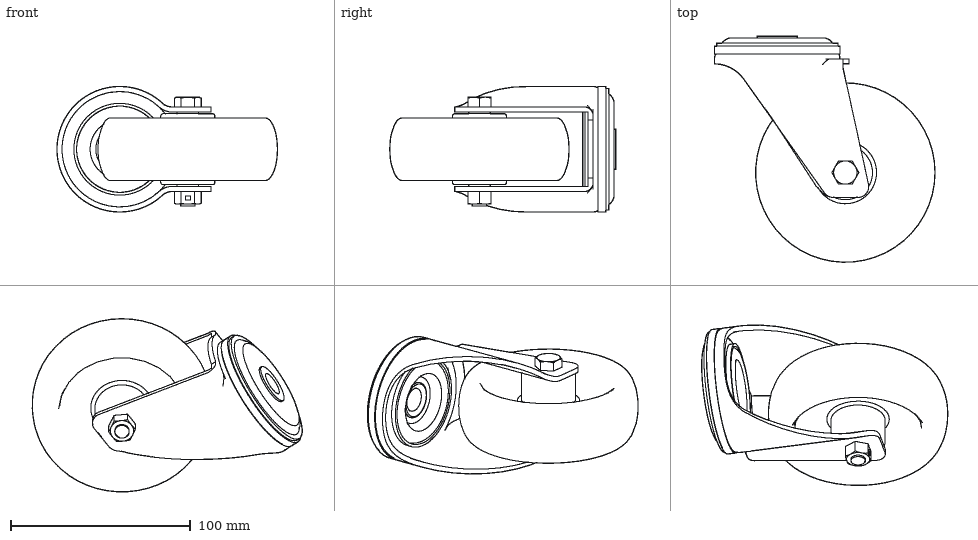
import cadquery as cq
import math

axle_offset = 37.9

sheet = 2.9
skirt_radius = 35.0
leg_outer = 23.5
plate_top = 63.3
shoulder_radius = 5.0
waist_radius = 8.5
leg_bottom = -13.8
leg_corner_radius = 6.0
skirt_arc_radius = 20.1
rear_corner_x = -24.7
rear_foot_x = 28.1
front_foot_x = 52.4
front_top_x = 36.6
tab_radius = 40.0
collar_hole_radius = 24.0
collar_outer_radius = 25.5
collar_bottom = 58.7
hump_inner_radius = 26.0
hump_bottom = 61.3
hump_radius = 5.0
channel_radius = 1.3

plate_bottom = plate_top - sheet
leg_inner = leg_outer - sheet
skirt_inner_radius = skirt_radius - sheet
shoulder_bottom = plate_top - shoulder_radius
beyond = 75.5

cap_bottom = 66.0
cap_step = 70.4
cap_step_radius = 33.9
dome_bottom = 72.0
dome_bottom_radius = 31.0
dome_mid_radius = 29.2
dome_mid = 73.8
dome_top_radius = 26.8
dome_top = 74.9
boss_radius = 11.2
boss_top = 75.9
kingpin_radius = 10.1
kingpin_bottom = 63.7
kingpin_chamfer = 0.8
bolt_hole_bottom = 65.2
bolt_hole_radius = 6.5

race_radius = 23.9
bead_radius = 4.4
bead_bottom = 57.4
race_mouth_radius = 16.5
race_seat_radius = 13.3
race_seat = 64.2

wheel_radius = 50.0
tread_half_width = 17.5
rim_edge_radius = 42.9
rim_inner_radius = 34.6
web_fillet = 1.6
web_half = 2.1
web_flat_radius = 24.9
web_cone_radius = 17.4
web_cone_half = 3.3
hub_radius = 15.1
hub_half_length = 19.8
hub_edge_fillet = 1.4
hub_root_top = 4.3
hub_root_radius = 2.0

tube_radius = 6.0
shank_radius = 4.0
hex_flats = 13.0
head_height = 5.4
nut_height = 7.0
bolt_end = 31.6
hex_chamfer_slope = math.tan(math.radians(30))
nut_window_width = 2.8
nut_window_height = 2.3
nut_window_depth = 0.5


def turned_on_swivel_axis(profile):
    return profile.close().revolve(360, (0, 0, 0), (0, 1, 0))


def fork_footprint():
    """Keyhole-shaped block: a round back that runs through two reverse bends into parallel sides."""
    bend_z = leg_outer + waist_radius
    bend_x = math.sqrt((skirt_radius + waist_radius) ** 2 - bend_z**2)
    share = skirt_radius / (skirt_radius + waist_radius)
    touch_x, touch_z = bend_x * share, bend_z * share
    half_turn = math.atan2(bend_x, bend_z) / 2
    mid_x = bend_x - waist_radius * math.sin(half_turn)
    mid_z = bend_z - waist_radius * math.cos(half_turn)
    return (
        cq.Workplane("XZ", origin=(0, plate_top, 0))
        .moveTo(beyond, -leg_outer)
        .lineTo(bend_x, -leg_outer)
        .threePointArc((mid_x, -mid_z), (touch_x, -touch_z))
        .threePointArc((-skirt_radius, 0), (touch_x, touch_z))
        .threePointArc((mid_x, mid_z), (bend_x, leg_outer))
        .lineTo(beyond, leg_outer)
        .close()
        .extrude(plate_top - leg_bottom)
    )


def fork_side_outline():
    """Side shape of the fork, as a prism across its whole width."""
    corners = [
        (-beyond, beyond),
        (-beyond, plate_bottom),
        (rear_corner_x, plate_bottom),
        (rear_foot_x, leg_bottom),
        (front_foot_x, leg_bottom),
        (front_top_x, shoulder_bottom),
        (front_top_x, plate_bottom),
        (tab_radius, plate_bottom),
        (tab_radius, beyond),
    ]
    prism = cq.Workplane("XY").polyline(corners).close().extrude(skirt_radius + sheet, both=True)

    def round_corner(body, point, radius):
        return body.edges(cq.selectors.NearestToPointSelector((*point, 0))).fillet(radius)

    prism = round_corner(prism, (rear_corner_x, plate_bottom), skirt_arc_radius)
    for foot_x in (rear_foot_x, front_foot_x):
        prism = round_corner(prism, (foot_x, leg_bottom), leg_corner_radius)
    return prism


def fork_channel():
    """Ring-shaped hollow under the head: a small concave arc along the skirt, then a larger convex one."""
    hump_centre_y = hump_bottom + hump_radius
    channel_centre_r = skirt_inner_radius - channel_radius
    centre_dr = channel_centre_r - hump_inner_radius
    centre_distance = hump_radius + channel_radius
    tilt = math.asin(centre_dr / centre_distance)
    channel_centre_y = hump_centre_y - centre_distance * math.cos(tilt)
    meet_r = hump_inner_radius + hump_radius * math.sin(tilt)
    meet_y = hump_centre_y - hump_radius * math.cos(tilt)
    hump_mid_r = hump_inner_radius + hump_radius * math.sin(tilt / 2)
    hump_mid_y = hump_centre_y - hump_radius * math.cos(tilt / 2)
    return turned_on_swivel_axis(
        cq.Workplane("XY")
        .moveTo(skirt_inner_radius, plate_bottom)
        .lineTo(skirt_inner_radius, channel_centre_y)
        .threePointArc((channel_centre_r, channel_centre_y + channel_radius), (meet_r, meet_y))
        .threePointArc((hump_mid_r, hump_mid_y), (hump_inner_radius, hump_bottom))
        .lineTo(collar_hole_radius, hump_bottom)
        .lineTo(collar_hole_radius, plate_bottom)
    )


def cylinder_on_swivel_axis(radius, bottom, top):
    return cq.Workplane("XZ", origin=(0, top, 0)).circle(radius).extrude(top - bottom)


def fork_outside():
    """Outer envelope of the fork, with bent shoulders and a rounded head that ends under the cap."""
    block = fork_footprint().faces(">Y").edges("not(>X)").fillet(shoulder_radius)
    crown_centre_r = skirt_radius - shoulder_radius
    crown_height = cap_bottom - plate_top
    crown_edge_r = crown_centre_r + math.sqrt(shoulder_radius**2 - crown_height**2)
    head = turned_on_swivel_axis(
        cq.Workplane("XY")
        .moveTo(0, leg_bottom)
        .lineTo(skirt_radius, leg_bottom)
        .lineTo(skirt_radius, plate_top)
        .radiusArc((crown_edge_r, cap_bottom), -shoulder_radius)
        .lineTo(0, cap_bottom)
    )
    return block.union(head)


def fork_walls():
    """Skirt and legs: the trimmed outer faces thickened inward, so the cut edges stand square to the sheet."""
    side_prism = fork_side_outline().val()
    walls = cq.Workplane("XY")
    for outer_face in fork_footprint().faces("not |Y").vals():
        for trimmed in outer_face.intersect(side_prism).Faces():
            walls = walls.add(trimmed.thicken(-sheet))
    return walls.combine()


def fork_tab_limit():
    """Space in front of the shoulders, outside the round tab."""
    slab = (
        cq.Workplane("XY")
        .box(beyond, beyond, 2 * beyond, centered=(False, False, True))
        .translate((front_top_x, shoulder_bottom, 0))
    )
    return slab.cut(cylinder_on_swivel_axis(tab_radius, shoulder_bottom, cap_bottom))


def make_fork():
    plate = cylinder_on_swivel_axis(beyond, plate_bottom, cap_bottom).intersect(fork_side_outline())
    body = fork_walls().union(plate).intersect(fork_outside())
    body = body.cut(fork_tab_limit()).cut(fork_channel())
    body = body.union(cylinder_on_swivel_axis(collar_outer_radius, collar_bottom, plate_top))
    return body.cut(cylinder_on_swivel_axis(collar_hole_radius, collar_bottom, cap_bottom))


def make_swivel_cap():
    return turned_on_swivel_axis(
        cq.Workplane("XY")
        .moveTo(bolt_hole_radius, bolt_hole_bottom)
        .lineTo(kingpin_radius - kingpin_chamfer, kingpin_bottom)
        .lineTo(kingpin_radius, kingpin_bottom + kingpin_chamfer)
        .lineTo(kingpin_radius, cap_bottom)
        .lineTo(skirt_radius, cap_bottom)
        .lineTo(skirt_radius, cap_step)
        .lineTo(cap_step_radius, cap_step)
        .lineTo(cap_step_radius, dome_bottom)
        .lineTo(dome_bottom_radius, dome_bottom)
        .threePointArc((dome_mid_radius, dome_mid), (dome_top_radius, dome_top))
        .lineTo(boss_radius, dome_top)
        .lineTo(boss_radius, boss_top)
        .lineTo(bolt_hole_radius, boss_top)
    )


def make_race():
    bead_centre_r = race_radius - bead_radius
    bead_centre_y = bead_bottom + bead_radius
    mouth_y = bead_centre_y - math.sqrt(bead_radius**2 - (bead_centre_r - race_mouth_radius) ** 2)
    return turned_on_swivel_axis(
        cq.Workplane("XY")
        .moveTo(kingpin_radius, race_seat)
        .lineTo(race_seat_radius, race_seat)
        .lineTo(race_mouth_radius, mouth_y)
        .threePointArc((bead_centre_r, bead_bottom), (race_radius, bead_centre_y))
        .lineTo(race_radius, cap_bottom)
        .lineTo(kingpin_radius, cap_bottom)
    )


def make_wheel():
    """Wheel turned about the axle; each half has an elliptical tread flank and a rounded rim."""
    tread_bulge = wheel_radius - rim_edge_radius
    rim_depth = tread_half_width - web_half - web_fillet
    rim_width = rim_edge_radius - rim_inner_radius
    web_end_radius = rim_inner_radius - web_fillet
    diagonal = math.sqrt(0.5)
    half = (
        cq.Workplane("XZ")
        .moveTo(tube_radius, 0)
        .lineTo(wheel_radius, 0)
        .ellipseArc(tread_bulge, tread_half_width, 0, 90, startAtCurrent=True)
        .ellipseArc(rim_width, rim_depth, 90, 180, startAtCurrent=True)
        .threePointArc(
            (web_end_radius + web_fillet * diagonal, web_half + web_fillet * (1 - diagonal)),
            (web_end_radius, web_half),
        )
        .lineTo(web_flat_radius, web_half)
        .lineTo(web_cone_radius, web_cone_half)
        .radiusArc((hub_radius, hub_root_top), hub_root_radius)
        .lineTo(hub_radius, hub_half_length - hub_edge_fillet)
        .radiusArc((hub_radius - hub_edge_fillet, hub_half_length), -hub_edge_fillet)
        .lineTo(tube_radius, hub_half_length)
        .close()
        .revolve(360, (0, 0, 0), (0, 1, 0))
    )
    return half.union(half.mirror("XY"), clean=False).translate((axle_offset, 0, 0))


def axle_cylinder(radius, bottom, top):
    return cq.Workplane("XY", origin=(axle_offset, 0, bottom)).circle(radius).extrude(top - bottom)


def chamfered_hexagon(height):
    """Hexagon prism standing on Z = 0, with its top corners turned off to the width across flats."""
    flat_radius = hex_flats / 2
    corner_radius = flat_radius / math.cos(math.pi / 6)
    corner_drop = (corner_radius - flat_radius) * hex_chamfer_slope
    blank = (
        cq.Workplane("XZ")
        .polyline([
            (0, 0),
            (corner_radius, 0),
            (corner_radius, height - corner_drop),
            (flat_radius, height),
            (0, height),
        ])
        .close()
        .revolve(360, (0, 0, 0), (0, 1, 0))
    )
    return cq.Workplane("XY").polygon(6, 2 * corner_radius).extrude(height).intersect(blank)


def make_bolt():
    head = chamfered_hexagon(head_height).translate((axle_offset, 0, leg_outer))
    return head.union(axle_cylinder(shank_radius, -bolt_end, leg_outer))


def make_nut():
    window = cq.Workplane("XY").box(nut_window_width, 2 * nut_window_depth, nut_window_height)
    nut = chamfered_hexagon(nut_height).cut(window.translate((0, -hex_flats / 2, nut_height / 2)))
    nut = nut.mirror("XY").translate((axle_offset, 0, -leg_outer))
    return nut.cut(axle_cylinder(shank_radius, -bolt_end, leg_outer))


def make_tube():
    tube = axle_cylinder(tube_radius, -leg_inner, leg_inner)
    return tube.cut(axle_cylinder(shank_radius, -leg_inner, leg_inner))


swivel_cap = make_swivel_cap()
race = make_race()
wheel = make_wheel()
tube = make_tube()
bolt = make_bolt()
nut = make_nut()
fork = make_fork().cut(axle_cylinder(shank_radius, -leg_outer, leg_outer))

result = cq.Compound.makeCompound([
    fork.val(),
    swivel_cap.val(),
    race.val(),
    wheel.val(),
    tube.val(),
    bolt.val(),
    nut.val(),
])